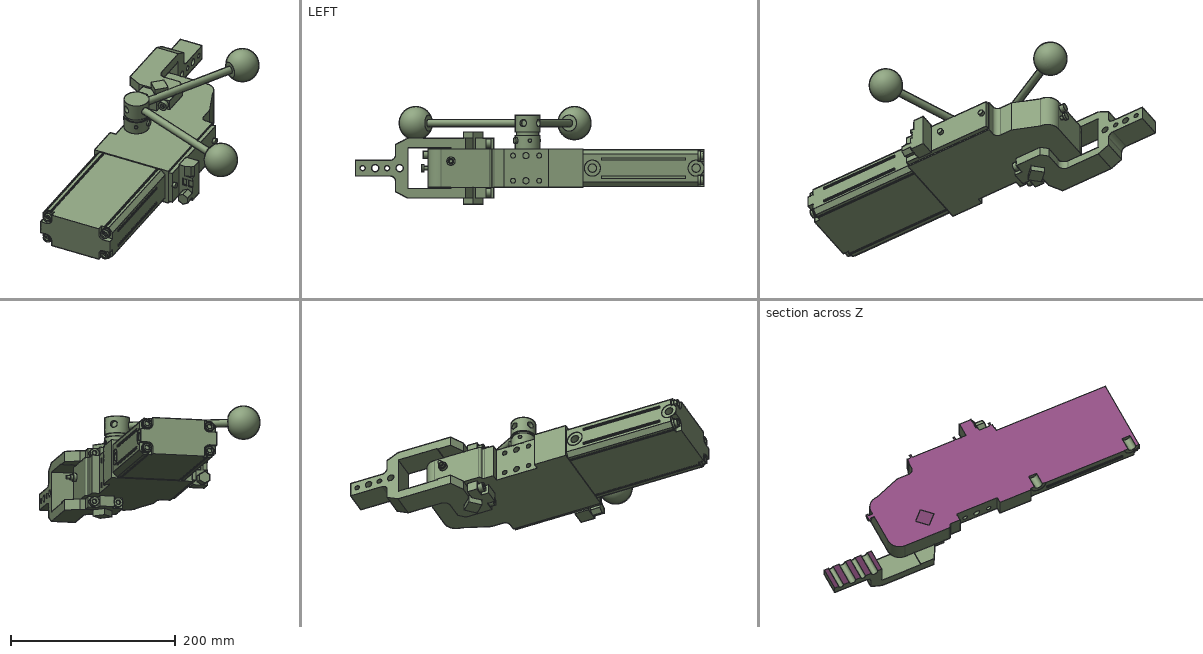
import cadquery as cq
import math


housing_height = 47.0
housing_top = housing_height / 2

shaft_half_diagonal = 12.0
shaft_length = 88.0

head_left = -26.5
head_right = 65.5
head_end_y = 55.0
head_corner_radius = 15.5
head_shoulder_x = 52.0
head_slope_end_y = 6.0
step_left = -22.0
step_y = -23.0
step_convex_radius = 3.5
step_concave_radius = 2.5
head_foot_y = -37.5
right_shoulder_y = -16.5
right_shoulder_radius = 6.8

block_left = -12.7
block_right = 80.5
block_flare_left = -20.5
block_flare_y = -91.5
block_foot_y = -133.5

cylinder_left = -18.5
cylinder_width = 95.0
cylinder_height = 45.0
cylinder_bevel = 5.5
cylinder_end_y = -280.5
cap_length = 22.5
cylinder_centre_x = cylinder_left + cylinder_width / 2
front_cap_end_y = block_foot_y - cap_length
rear_cap_start_y = cylinder_end_y + cap_length

arm_left = -45.0
arm_width = 29.5
arm_tip_y = 143.5
arm_height = 73.0
arm_opening = 49.0
crook_y = 27.0
arm_cap_y = -15.3
arm_slot = 2.5

lever_x = 2.5
lever_y = -66.0
lever_length = 155.0
lever_angles = (61.2, -21.5)
rod_z = 54.5
rod_radius = 4.5
ball_radius = 20.5


def box(x0, x1, y0, y1, z0, z1):
    """Box between two corners."""
    return cq.Workplane("XY").box(x1 - x0, y1 - y0, z1 - z0, centered=False).translate((x0, y0, z0))


def rod(start, direction, radius, length):
    """Round bar from a start point along a direction."""
    return cq.Workplane(cq.Solid.makeCylinder(radius, length, cq.Vector(*start), cq.Vector(*direction)))


def square_bar(length):
    """Square bar on the Z axis, with its corners on X and Y."""
    d = shaft_half_diagonal
    outline = cq.Workplane("XY").polyline([(d, 0), (0, d), (-d, 0), (0, -d)]).close()
    return outline.extrude(length / 2, both=True)


def housing_head():
    """Rounded head that carries the shaft."""
    r = head_corner_radius
    arc = r * math.sqrt(0.5)
    rc = step_convex_radius
    rv = step_concave_radius
    rs = right_shoulder_radius
    outline = (
        cq.Workplane("XY")
        .moveTo(step_left, head_foot_y)
        .lineTo(step_left, step_y - rv)
        .radiusArc((step_left - rv + 1.3, step_y), -rv)
        .radiusArc((head_left, step_y + rc), rc)
        .lineTo(head_left, head_end_y - r)
        .threePointArc((head_left + r - arc, head_end_y - r + arc), (head_left + r, head_end_y))
        .lineTo(head_shoulder_x - r, head_end_y)
        .threePointArc(
            (head_shoulder_x - r + arc, head_end_y - r + arc), (head_shoulder_x, head_end_y - r)
        )
        .lineTo(head_right, head_slope_end_y)
        .lineTo(head_right, right_shoulder_y + rs)
        .radiusArc((head_right + rs, right_shoulder_y), -rs)
        .lineTo(block_right, right_shoulder_y)
        .lineTo(block_right, head_foot_y)
        .close()
    )
    return outline.extrude(housing_height / 2, both=True)


def drive_block():
    """Block behind the head, flared at its cylinder end, with a pattern of mounting holes."""
    hole_ys = (-48.5, -64.0, -80.0)
    hole_radii = (3.0, 4.0, 3.0)
    hole_z = 15.3
    hole_depth = 10.5
    block = box(block_left, block_right, block_foot_y, head_foot_y, -housing_top, housing_top)
    flare = box(block_flare_left, block_left, block_foot_y, block_flare_y, -housing_top, housing_top)
    block = block.union(flare)
    for y, radius in zip(hole_ys, hole_radii):
        for z in (-hole_z, hole_z):
            block = block.cut(rod((block_left, y, z), (1, 0, 0), radius, hole_depth))
    return block


def cylinder():
    """Bevelled cylinder with grooves, side ports and corner screws."""
    half_height = cylinder_height / 2
    length = block_foot_y - cylinder_end_y
    body = (
        cq.Workplane("XY")
        .box(cylinder_width, length, cylinder_height)
        .edges("|Y")
        .chamfer(cylinder_bevel)
        .translate((cylinder_centre_x, block_foot_y - length / 2, 0))
    )

    groove_offset = 37.0
    groove_width = 1.5
    groove_depth = 1.3
    for side in (-1, 1):
        x = cylinder_centre_x + side * groove_offset
        for z in (-half_height, half_height):
            groove = box(
                x - groove_width / 2, x + groove_width / 2, cylinder_end_y, block_foot_y,
                z - groove_depth, z + groove_depth,
            )
            body = body.cut(groove)

    side_groove_z = 11.0
    side_groove_width = 2.5
    for x in (cylinder_left, cylinder_left + cylinder_width):
        for z in (-side_groove_z, side_groove_z):
            groove = box(
                x - groove_depth, x + groove_depth, rear_cap_start_y, front_cap_end_y,
                z - side_groove_width / 2, z + side_groove_width / 2,
            )
            body = body.cut(groove)

    port_radius = 5.0
    port_depth = 17.0
    spot_radius = 9.8
    spot_depth = 0.5
    for y in (block_foot_y - cap_length / 2, cylinder_end_y + spot_radius):
        body = body.cut(rod((cylinder_left, y, 0), (1, 0, 0), spot_radius, spot_depth))
        body = body.cut(rod((cylinder_left, y, 0), (1, 0, 0), port_radius, port_depth))

    screw_offset = 39.0
    screw_z = 15.0
    screw_radius = 5.0
    screw_length = 6.5
    washer_radius = 6.0
    washer_thickness = 2.5
    socket_radius = 3.0
    socket_depth = 3.5
    pocket_radius = 6.8
    pocket_depth = 7.0
    pocket_floor_y = cylinder_end_y + pocket_depth
    toward_end = (0, -1, 0)
    for side in (-1, 1):
        for level in (-1, 1):
            x = cylinder_centre_x + side * screw_offset
            z = level * screw_z
            floor_point = (x, pocket_floor_y, z)
            body = body.cut(rod(floor_point, toward_end, pocket_radius, pocket_depth))
            run_out = cq.Workplane("XY").box(
                2 * pocket_radius, pocket_depth, 2 * pocket_radius
            ).translate((x, cylinder_end_y + pocket_depth / 2, z))
            body = body.cut(run_out.translate((side * pocket_radius, 0, 0)))
            body = body.cut(run_out.translate((0, 0, level * pocket_radius)))
            screw = rod(floor_point, toward_end, washer_radius, washer_thickness)
            screw = screw.union(rod(floor_point, toward_end, screw_radius, screw_length))
            socket_floor = (x, pocket_floor_y - screw_length + socket_depth, z)
            body = body.union(screw.cut(rod(socket_floor, toward_end, socket_radius, socket_depth)))
    return body


def head_fittings():
    """Grease nipple on the left of the head, and a plug and a nipple on its far end."""
    nipple_y = 27.0
    nipple_z = 8.5
    base = (head_left, nipple_y, nipple_z)
    fittings = rod(base, (-1, 0, 0), 5.0, 4.0)
    fittings = fittings.union(rod(base, (-1, 0, 0), 3.5, 7.0))
    fittings = fittings.union(rod(base, (-1, 0, 0), 2.0, 12.0))
    fitting_x = 30.0
    plug_z = 16.0
    neck_length = 4.5
    fittings = fittings.union(rod((fitting_x, head_end_y, plug_z), (0, 1, 0), 4.5, 6.0))
    fittings = fittings.union(rod((fitting_x, head_end_y, 0), (0, 1, 0), 2.5, neck_length))
    fittings = fittings.union(rod((fitting_x, head_end_y + neck_length, 0), (0, 1, 0), 4.5, 3.0))
    return fittings


def sensor():
    """Cover plate on the right of the housing, its screws, and the plug connector."""
    plate_right = 85.5
    plate_height = 42.5
    plate = box(
        block_right, plate_right, block_foot_y + 1.0, right_shoulder_y - 1.0,
        -plate_height / 2, plate_height / 2,
    )
    screw_z = 3.0
    for y in (-23.5, -82.3, -129.7):
        plate = plate.union(rod((plate_right, y, screw_z), (1, 0, 0), 3.5, 4.0))

    connector_right = 104.0
    connector_front = -115.0
    connector_back = -96.5
    ledge_z = 9.5
    bevel_x = 93.3
    bevel_depth = 5.0
    lower = box(plate_right, connector_right, connector_front, connector_back, -housing_top, ledge_z)
    upper = (
        cq.Workplane("XY")
        .workplane(offset=ledge_z)
        .polyline([
            (plate_right, connector_front),
            (bevel_x, connector_front),
            (connector_right - 3.0, connector_front + bevel_depth / 2),
            (connector_right, connector_front + bevel_depth),
            (connector_right, connector_back),
            (plate_right, connector_back),
        ])
        .close()
        .extrude(housing_top - ledge_z)
    )
    connector = lower.union(upper)

    recess_width = 5.5
    recess_depth = 2.0
    recess_half_height = 4.5
    for left in (90.5, connector_right - recess_width):
        recess = box(
            left, left + recess_width, connector_front, connector_front + recess_depth,
            -recess_half_height, recess_half_height,
        )
        connector = connector.cut(recess)

    nut_width = 12.7
    nut_length = 12.7
    nut_z = -16.0
    nut = (
        cq.Workplane("XZ")
        .polygon(6, nut_width / math.cos(math.radians(30)))
        .extrude(nut_length)
        .rotate((0, 0, 0), (0, 1, 0), 30)
        .translate((connector_right - nut_width / 2, connector_front, nut_z))
    )
    return plate.union(connector).union(nut)


def arm_profile():
    """Plan outline of the arm with its crook and its clamping cap, over the full arm height."""
    arm_right = arm_left + arm_width
    crook_radius = 9.0
    cap_half_width = 21.5
    cap_bevel = 7.5
    tongue_half_width = 9.0
    tongue_y = -25.0
    crook = crook_radius * (1 - math.sqrt(0.5))
    outline = (
        cq.Workplane("XY")
        .moveTo(arm_left, arm_tip_y)
        .lineTo(arm_right, arm_tip_y)
        .lineTo(arm_right, crook_y + crook_radius)
        .threePointArc((arm_right + crook, crook_y + crook), (arm_right + crook_radius, crook_y))
        .lineTo(cap_half_width - cap_bevel, crook_y)
        .lineTo(cap_half_width, crook_y - cap_bevel)
        .lineTo(cap_half_width, arm_cap_y)
        .lineTo(tongue_half_width, arm_cap_y)
        .lineTo(tongue_half_width, tongue_y)
        .lineTo(-tongue_half_width, tongue_y)
        .lineTo(-tongue_half_width, arm_cap_y)
        .lineTo(-cap_half_width, arm_cap_y)
        .lineTo(-cap_half_width, -arm_slot)
        .lineTo(0, -arm_slot)
        .lineTo(0, 0)
        .lineTo(-28.0, 0)
        .lineTo(arm_left, 9.5)
        .close()
    )
    return outline.extrude(arm_height / 2, both=True)


def arm_side_profile():
    """Side outline of the arm: narrow tang, rounded shoulders and the two fork legs."""
    tang = 19.5 / 2
    shoulder_y = 94.5
    shoulder_z = 29.0
    bevel_y = 79.5
    root_radius = 6.5
    root = root_radius * (1 - math.sqrt(0.5))
    top = arm_height / 2
    rear_y = -34.0
    outline = (
        cq.Workplane("YZ")
        .moveTo(arm_tip_y, -tang)
        .lineTo(arm_tip_y, tang)
        .lineTo(shoulder_y + root_radius, tang)
        .threePointArc((shoulder_y + root, tang + root), (shoulder_y, tang + root_radius))
        .lineTo(shoulder_y, shoulder_z)
        .lineTo(bevel_y, top)
        .lineTo(rear_y, top)
        .lineTo(rear_y, -top)
        .lineTo(bevel_y, -top)
        .lineTo(shoulder_y, -shoulder_z)
        .lineTo(shoulder_y, -tang - root_radius)
        .threePointArc((shoulder_y + root, -tang - root), (shoulder_y + root_radius, -tang))
        .close()
    )
    return outline.extrude(85, both=True)


def make_arm():
    """Forked arm with the square shaft hole, clamping screws and tang holes."""
    arm = arm_profile().intersect(arm_side_profile())
    opening_end_y = 79.5
    reach = 85
    opening_top = arm_opening / 2
    arm = arm.cut(box(-reach, reach, crook_y, opening_end_y, -opening_top, opening_top))
    arm = arm.cut(box(-reach, reach, -reach, crook_y, -housing_top, housing_top))
    arm = arm.cut(square_bar(shaft_length))

    for y, radius in ((134.5, 3.0), (119.0, 4.2), (104.7, 3.0), (89.5, 4.2)):
        arm = arm.cut(rod((arm_left, y, 0), (1, 0, 0), radius, arm_width))

    screw_x = 15.0
    screw_z = (arm_height + housing_height) / 4
    head_radius = 5.5
    head_length = 6.5
    hex_size = 6.0
    hex_depth = 3.5
    for x in (-screw_x, screw_x):
        for z in (-screw_z, screw_z):
            head = rod((x, arm_cap_y, z), (0, -1, 0), head_radius, head_length)
            head = head.faces("<Y").workplane(centerOption="CenterOfMass").polygon(6, hex_size).cutBlind(-hex_depth)
            arm = arm.union(head)
    return arm


def lever_direction(angle):
    """Horizontal unit direction at an angle from +X."""
    return (math.cos(math.radians(angle)), math.sin(math.radians(angle)), 0)


def lever_point(angle, distance, z):
    """Point at a distance from the hub axis."""
    dx, dy, _ = lever_direction(angle)
    return (lever_x + distance * dx, lever_y + distance * dy, z)


def make_lever():
    """Grooved hub with two ball-ended rods, empty rod holes and set screws."""
    hub_radius = 15.3
    neck_radius = 13.5
    collar_top = 40.0
    neck_top = 43.5
    hub_top = 64.5
    up = (0, 0, 1)
    lever = rod((lever_x, lever_y, housing_top), up, neck_radius, hub_top - housing_top)
    lever = lever.union(rod((lever_x, lever_y, housing_top), up, hub_radius, collar_top - housing_top))
    lever = lever.union(rod((lever_x, lever_y, neck_top), up, hub_radius, hub_top - neck_top))

    hole_radius = 4.2
    hole_depth = 6.5
    ball_flat_radius = 9.8
    flat_distance = math.sqrt(ball_radius**2 - ball_flat_radius**2)
    for angle in lever_angles:
        direction = lever_direction(angle)
        back = lever_direction(angle + 180)
        lever = lever.union(rod((lever_x, lever_y, rod_z), direction, rod_radius, lever_length))
        ball = cq.Workplane("XY").sphere(ball_radius).translate(lever_point(angle, lever_length, rod_z))
        flat_cut = rod(lever_point(angle, lever_length - flat_distance, rod_z), back, ball_radius, ball_radius)
        lever = lever.union(ball.cut(flat_cut))
        hole_start = lever_point(angle + 180, hub_radius - hole_depth, rod_z)
        lever = lever.cut(rod(hole_start, back, hole_radius, hub_radius))

    set_screw_z = 33.5
    for angle, radius, reach in ((115, 4.0, 17.5), (5, 4.0, 17.5), (-65, 2.0, 16.0), (190, 2.0, 16.0)):
        screw = rod((lever_x, lever_y, set_screw_z), lever_direction(angle), radius, reach)
        lever = lever.union(screw)
    return lever


shaft = square_bar(shaft_length)
clamp_unit = housing_head().union(drive_block()).union(cylinder())
clamp_unit = clamp_unit.union(head_fittings()).union(sensor()).cut(shaft)
arm = make_arm()
lever = make_lever()

result = cq.Compound.makeCompound([clamp_unit.val(), shaft.val(), arm.val(), lever.val()])